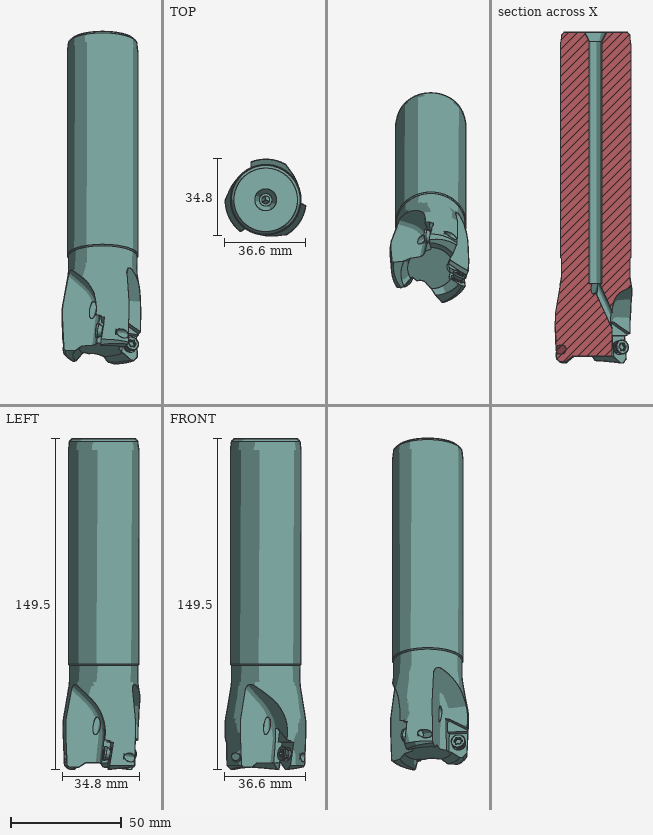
import cadquery as cq
import math


FLUTE_COUNT = 3

TOTAL_LENGTH = 149.5
SHANK_RADIUS = 16.0
SHANK_BOTTOM = 47.7
SHANK_STEP = 0.6
SHANK_TIP_RADIUS = 15.5
SHANK_TIP_LENGTH = 5.2
SHANK_CHAMFER = 1.2
NECK_RADIUS = 15.5
NECK_BOTTOM = 39.5
CONE_TOP = 37.7
CONE_TOP_RADIUS = 15.7
CONE_BOTTOM = 22.9
CONE_BOTTOM_RADIUS = 18.2
HEAD_RADIUS = 18.4
HEAD_TOP = 21.0
HEAD_BOTTOM = 16.6
TIP_RADIUS = 17.8
TIP_CHAMFER = 2.0
RIM_INNER_RADIUS = 14.4
DISH_RADIUS = 10.5
DISH_DEPTH = 3.0

BORE_RADIUS = 2.8
BORE_BOTTOM = 35.9
CENTRE_RADIUS = 5.0
CENTRE_DEPTH = 4.2
COOLANT_RADIUS = 1.6
COOLANT_EXIT_ANGLE = -85.0
COOLANT_EXIT_RADIUS = 7.3
COOLANT_EXIT_HEIGHT = 19.7
COOLANT_OVERRUN = 5.4

FLOOR_NORMAL_ANGLE = -59.0
FLOOR_DISTANCE = 6.5
FLUTE_CORNER_RADIUS = 3.5
FLUTE_BEND_RADIUS = 21.4
FLUTE_BEND_OFFSET = -21.0
FLUTE_BEND_HEIGHT = 16.7
FLUTE_LEAN = 6.5
FLUTE_RUNOUT_ANGLE = 46.0

SEAT_ANGLE = -52.0
SEAT_NORMAL_ANGLE = SEAT_ANGLE - 90
SEAT_LEAN = 9.0
SEAT_INNER_RADIUS = 9.5
SEAT_WIDTH = TIP_RADIUS - SEAT_INNER_RADIUS
SEAT_WALL_DRAFT = 18.0
SEAT_HEIGHT = 12.4
SEAT_STEP = 1.8
SEAT_TOP_INNER_HEIGHT = 18.2
SEAT_TOP_OUTER_HEIGHT = 13.2
SEAT_CUT_DEPTH = 7.5
END_RELIEF_ANGLE = 6.0

SCREW_AXIS_RADIUS = 14.2
SCREW_HEIGHT = 6.9
SCREW_SKEW = 4.0
SCREW_STAND_OUT = 3.0
SCREW_LENGTH = 9.0
SCREW_HEAD_RADIUS = 3.1
SCREW_HEAD_RIM = 0.9
SCREW_HEAD_CONE = 1.8
SCREW_THREAD_RADIUS = 2.0
SCREW_HOLE_LENGTH = 15.0
SCREW_SINK_DEPTH = SCREW_HEAD_RADIUS - SCREW_THREAD_RADIUS
SOCKET_RADIUS = 2.0
SOCKET_LOBE_RADIUS = 0.5
SOCKET_LOBE_CIRCLE = SOCKET_RADIUS - SOCKET_LOBE_RADIUS
SOCKET_LOBE_COUNT = 6
SOCKET_DEPTH = 1.5

CLEAR = 44.8


def tangent(angle):
    return math.tan(math.radians(angle))


def direction(angle, lean=0.0):
    """Unit vector at an angle around Z, raised out of the XY plane by a lean."""
    turn = math.radians(angle)
    rise = math.radians(lean)
    return cq.Vector(math.cos(turn) * math.cos(rise), math.sin(turn) * math.cos(rise), math.sin(rise))


def around_axis(shape):
    """One copy of a shape for each flute."""
    step = 360.0 / FLUTE_COUNT
    return [shape.rotate((0, 0, 0), (0, 0, 1), i * step) for i in range(FLUTE_COUNT)]


def make_blank():
    """Turned body with its coolant bore at the top and a dished cutting end."""
    return (
        cq.Workplane("XZ")
        .moveTo(0, DISH_DEPTH)
        .lineTo(DISH_RADIUS, DISH_DEPTH)
        .lineTo(RIM_INNER_RADIUS, 0)
        .lineTo(TIP_RADIUS - TIP_CHAMFER, 0)
        .lineTo(TIP_RADIUS, TIP_CHAMFER)
        .lineTo(HEAD_RADIUS, HEAD_BOTTOM)
        .lineTo(HEAD_RADIUS, HEAD_TOP)
        .lineTo(CONE_BOTTOM_RADIUS, CONE_BOTTOM)
        .lineTo(CONE_TOP_RADIUS, CONE_TOP)
        .lineTo(NECK_RADIUS, NECK_BOTTOM)
        .lineTo(NECK_RADIUS, SHANK_BOTTOM - SHANK_STEP)
        .lineTo(SHANK_RADIUS, SHANK_BOTTOM)
        .lineTo(SHANK_RADIUS, TOTAL_LENGTH - SHANK_TIP_LENGTH)
        .lineTo(SHANK_TIP_RADIUS, TOTAL_LENGTH - SHANK_CHAMFER)
        .lineTo(SHANK_TIP_RADIUS - SHANK_CHAMFER, TOTAL_LENGTH)
        .lineTo(CENTRE_RADIUS, TOTAL_LENGTH)
        .lineTo(BORE_RADIUS, TOTAL_LENGTH - CENTRE_DEPTH)
        .lineTo(BORE_RADIUS, BORE_BOTTOM)
        .lineTo(0, BORE_BOTTOM)
        .close()
        .revolve(360, (0, 0, 0), (0, 1, 0))
    )


def make_flute():
    """Flute sketched on its floor: leaning wall, bend, then a straight runout to the outside."""
    normal = direction(FLOOR_NORMAL_ANGLE)
    across = direction(FLOOR_NORMAL_ANGLE + 90)
    floor = cq.Plane(origin=normal * FLOOR_DISTANCE, xDir=across, normal=normal)

    def bend_point(angle):
        turn = math.radians(angle)
        return (
            FLUTE_BEND_OFFSET + FLUTE_BEND_RADIUS * math.cos(turn),
            FLUTE_BEND_HEIGHT + FLUTE_BEND_RADIUS * math.sin(turn),
        )

    bend_start = bend_point(-FLUTE_LEAN)
    bend_middle = bend_point((FLUTE_RUNOUT_ANGLE - FLUTE_LEAN) / 2)
    bend_end = bend_point(FLUTE_RUNOUT_ANGLE)
    foot = (bend_start[0] - (bend_start[1] + CLEAR) * tangent(FLUTE_LEAN), -CLEAR)
    runout = (bend_end[0] - CLEAR, bend_end[1] + CLEAR / tangent(FLUTE_RUNOUT_ANGLE))
    return (
        cq.Workplane(floor)
        .moveTo(*foot)
        .lineTo(*bend_start)
        .threePointArc(bend_middle, bend_end)
        .lineTo(*runout)
        .lineTo(runout[0], -CLEAR)
        .close()
        .extrude(CLEAR)
        .faces(cq.selectors.DirectionMinMaxSelector(normal, False))
        .edges()
        .fillet(FLUTE_CORNER_RADIUS)
    )


def seat_point(radius, height):
    """Point on the seat face, which runs back from the radial line as it rises."""
    setback = direction(SEAT_ANGLE + 90) * (height * tangent(SEAT_LEAN))
    return direction(SEAT_ANGLE) * radius + setback + cq.Vector(0, 0, height)


def make_seat():
    """Insert pocket: where its sections seen from the end, from the side and onto its face overlap."""
    seat = cq.Plane(
        origin=seat_point(SEAT_INNER_RADIUS, 0),
        xDir=direction(SEAT_ANGLE),
        normal=direction(SEAT_NORMAL_ANGLE, SEAT_LEAN),
    )
    end_plane = cq.Plane(origin=seat.origin, xDir=seat.xDir, normal=-seat.yDir)
    side_plane = cq.Plane(origin=seat.origin, xDir=seat.yDir, normal=seat.xDir)
    end_section = (
        cq.Workplane(end_plane)
        .lineTo(CLEAR, 0)
        .lineTo(CLEAR, SEAT_CUT_DEPTH)
        .lineTo(-SEAT_CUT_DEPTH * tangent(SEAT_WALL_DRAFT), SEAT_CUT_DEPTH)
        .close()
        .extrude(CLEAR, both=True)
    )
    side_section = (
        cq.Workplane(side_plane)
        .moveTo(-CLEAR, 0)
        .lineTo(SEAT_HEIGHT, 0)
        .lineTo(SEAT_HEIGHT, SEAT_STEP)
        .lineTo(CLEAR, SEAT_STEP)
        .lineTo(CLEAR, SEAT_CUT_DEPTH)
        .lineTo(-CLEAR, SEAT_CUT_DEPTH)
        .close()
        .extrude(CLEAR, both=True)
    )
    top_slope = (SEAT_TOP_INNER_HEIGHT - SEAT_TOP_OUTER_HEIGHT) / SEAT_WIDTH
    face_section = (
        cq.Workplane(seat)
        .moveTo(-CLEAR, -CLEAR)
        .lineTo(CLEAR, -CLEAR)
        .lineTo(CLEAR, SEAT_TOP_INNER_HEIGHT - top_slope * CLEAR)
        .lineTo(0, SEAT_TOP_INNER_HEIGHT)
        .lineTo(-CLEAR, SEAT_TOP_INNER_HEIGHT)
        .close()
        .extrude(SEAT_CUT_DEPTH)
    )
    return end_section.intersect(side_section).intersect(face_section)


def make_end_relief():
    """Wedge that makes the end face of a lobe rise from its leading to its trailing edge."""
    plane = cq.Plane(
        origin=(0, 0, 0), xDir=direction(SEAT_ANGLE + 90), normal=direction(SEAT_ANGLE)
    )
    return (
        cq.Workplane(plane)
        .lineTo(CLEAR, 0)
        .lineTo(CLEAR, CLEAR * tangent(END_RELIEF_ANGLE))
        .close()
        .extrude(CLEAR)
    )


def screw_plane():
    """Plane where the screw enters the seat, with its normal along the screw toward the head."""
    return cq.Plane(
        origin=seat_point(SCREW_AXIS_RADIUS, SCREW_HEIGHT),
        xDir=direction(SEAT_ANGLE),
        normal=direction(SEAT_NORMAL_ANGLE - SCREW_SKEW, SEAT_LEAN),
    )


def make_screw_hole():
    """Countersunk hole from the seat to the outside of the lobe, with room for the head above it."""
    plane = screw_plane()
    hole = cq.Workplane(plane).circle(SCREW_THREAD_RADIUS).extrude(-SCREW_HOLE_LENGTH)
    sink = cq.Solid.makeCone(
        SCREW_HEAD_RADIUS, SCREW_THREAD_RADIUS, SCREW_SINK_DEPTH, plane.origin, -plane.zDir
    )
    clearance = cq.Workplane(plane).circle(SCREW_HEAD_RADIUS).extrude(SCREW_STAND_OUT)
    return hole.union(cq.Workplane(sink)).union(clearance)


def make_coolant_hole():
    """Inclined hole from the foot of the coolant bore into the flute."""
    start = cq.Vector(0, 0, BORE_BOTTOM)
    exit_height = cq.Vector(0, 0, COOLANT_EXIT_HEIGHT)
    axis = direction(COOLANT_EXIT_ANGLE) * COOLANT_EXIT_RADIUS + exit_height - start
    length = axis.Length + COOLANT_OVERRUN
    return cq.Workplane(cq.Solid.makeCylinder(COOLANT_RADIUS, length, start, axis))


def make_body():
    body = make_blank()
    for cutter in (
        make_flute(),
        make_seat(),
        make_end_relief(),
        make_screw_hole(),
        make_coolant_hole(),
    ):
        for copy in around_axis(cutter):
            body = body.cut(copy)
    return body


def make_screw():
    """Clamping screw with a conical head and a six-lobed socket."""
    head_top = SCREW_STAND_OUT
    cone_top = head_top - SCREW_HEAD_RIM
    cone_bottom = cone_top - SCREW_HEAD_CONE
    thread_end = head_top - SCREW_LENGTH
    screw = (
        cq.Workplane("XZ")
        .moveTo(0, head_top)
        .lineTo(SCREW_HEAD_RADIUS, head_top)
        .lineTo(SCREW_HEAD_RADIUS, cone_top)
        .lineTo(SCREW_THREAD_RADIUS, cone_bottom)
        .lineTo(SCREW_THREAD_RADIUS, thread_end)
        .lineTo(0, thread_end)
        .close()
        .revolve(360, (0, 0, 0), (0, 1, 0))
    )
    head_face = cq.Workplane("XY").workplane(offset=head_top)
    socket = head_face.circle(SOCKET_LOBE_CIRCLE).extrude(-SOCKET_DEPTH)
    socket_lobes = (
        head_face.polarArray(SOCKET_LOBE_CIRCLE, 0, 360, SOCKET_LOBE_COUNT)
        .circle(SOCKET_LOBE_RADIUS)
        .extrude(-SOCKET_DEPTH)
    )
    screw = screw.cut(socket).cut(socket_lobes)
    return cq.Workplane(screw.val().moved(cq.Location(screw_plane())))


body = make_body()
screws = around_axis(make_screw())

result = cq.Compound.makeCompound([body.solids().val(), *[screw.solids().val() for screw in screws]])